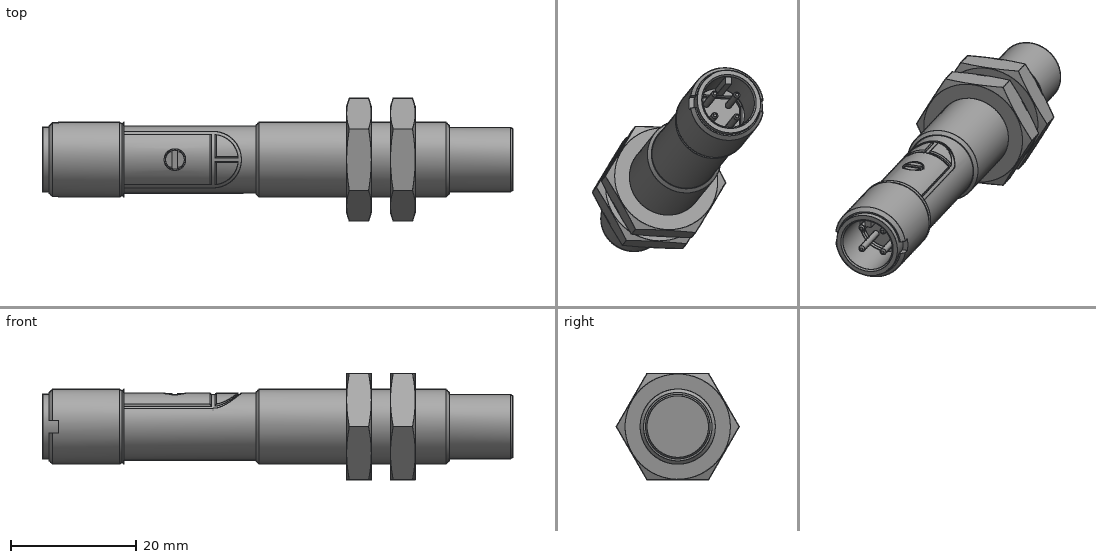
import cadquery as cq
import math

LENGTH = 75.0
BODY_DIAMETER = 12.0
BODY_RADIUS = BODY_DIAMETER / 2
OVERRUN = 1.0

TIP_RADIUS = 10.35 / 2
TIP_LENGTH = 1.0
SLEEVE_CHAMFER_START_RADIUS = 5.4
SLEEVE_CHAMFER_END = 1.6
SLEEVE_END = 12.95
SLEEVE_GROOVE_WIDTH = 0.7
SLEEVE_GROOVE_RUNOUT = 0.25
SLEEVE_GROOVE_DEPTH = 0.3
KEYWAY_WIDTH = 2.0
KEYWAY_END = 2.55

WINDOW_SECTION_RADIUS = 10.74 / 2
THREAD_START = 34.0
THREAD_END = 64.85
THREAD_ROOT_RADIUS = 10.92 / 2
THREAD_CHAMFER = BODY_RADIUS - THREAD_ROOT_RADIUS
NOSE_RADIUS = 10.3 / 2
NOSE_CHAMFER_LENGTH = 0.4
NOSE_CHAMFER_DEPTH = 0.25

SOCKET_RADIUS = 8.4 / 2
SOCKET_DEPTH = 8.0
SOCKET_CHAMFER = 0.25
RECESS_RADIUS = 3.9
RECESS_WIDTH = 7.2
RECESS_TOP = 2.85
RECESS_DEPTH = 1.0
RECESS_CHAMFER = 0.25
KEY_WIDTH = 1.0
KEY_BOTTOM = 3.0
KEY_START = 0.5
PIN_DIAMETER = 1.0
PIN_SPACING = 3.6
PIN_TIP = 2.2
PIN_CHAMFER = 0.25

GROOVE_FLOOR_RADIUS = 10.3 / 2
OUTLINE_HALF_WIDTH = 4.5
OUTLINE_GROOVE_WIDTH = 0.5
OUTLINE_END = 31.7
OUTLINE_ARC_X = OUTLINE_END - OUTLINE_HALF_WIDTH
T_WALL_SPREAD = 0.2
CROSS_GROOVE_X = 27.2
CROSS_GROOVE_FLOOR_WIDTH = 0.6
LONG_GROOVE_FLOOR_WIDTH = 0.6

SCREW_X = 21.1
SCREW_HOLE_DIAMETER = 3.44
SCREW_HOLE_FLOOR = 4.7
SCREW_HEAD_DIAMETER = 3.0
SCREW_HEAD_TOP = 5.25
SCREW_SLOT_WIDTH = 0.9
SCREW_SLOT_DEPTH = 0.3

NUT_WIDTH_ACROSS_FLATS = 17.0
NUT_THICKNESS = 4.0
NUT_STARTS = (48.45, 55.45)
NUT_CHAMFER_CIRCLE_RADIUS = 8.4
NUT_CHAMFER_ANGLE = 18.0


def box(x_start, x_end, y_width, z_bottom, z_top):
    """Box that is centred on Y = 0."""
    size_x = x_end - x_start
    size_z = z_top - z_bottom
    return (
        cq.Workplane("XY")
        .box(size_x, y_width, size_z, centered=(False, True, False))
        .translate((x_start, 0, z_bottom))
    )


def cylinder(x_start, x_end, radius):
    """Cylinder on the sensor axis."""
    return cq.Workplane("YZ", origin=(x_start, 0, 0)).circle(radius).extrude(x_end - x_start)


def revolve(profile):
    """Turn a profile of (X, radius) points about the sensor axis."""
    return cq.Workplane("XY").polyline(profile).close().revolve(360, (0, 0, 0), (1, 0, 0))


def turned_body():
    groove_start = SLEEVE_END - SLEEVE_GROOVE_WIDTH
    groove_bottom = SLEEVE_END - SLEEVE_GROOVE_RUNOUT
    return revolve([
        (0, 0),
        (0, TIP_RADIUS),
        (TIP_LENGTH, TIP_RADIUS),
        (TIP_LENGTH, SLEEVE_CHAMFER_START_RADIUS),
        (SLEEVE_CHAMFER_END, BODY_RADIUS),
        (groove_start, BODY_RADIUS),
        (groove_bottom, BODY_RADIUS - SLEEVE_GROOVE_DEPTH),
        (SLEEVE_END, BODY_RADIUS),
        (SLEEVE_END, WINDOW_SECTION_RADIUS),
        (THREAD_START, WINDOW_SECTION_RADIUS),
        (THREAD_START, THREAD_ROOT_RADIUS),
        (THREAD_START + THREAD_CHAMFER, BODY_RADIUS),
        (THREAD_END - THREAD_CHAMFER, BODY_RADIUS),
        (THREAD_END, THREAD_ROOT_RADIUS),
        (THREAD_END, NOSE_RADIUS),
        (LENGTH - NOSE_CHAMFER_LENGTH, NOSE_RADIUS),
        (LENGTH, NOSE_RADIUS - NOSE_CHAMFER_DEPTH),
        (LENGTH, 0),
    ])


def keyways():
    """Two opposite notches in the sleeve edge, with floors flush with the tip."""
    bar_width = 2 * (BODY_RADIUS + OVERRUN)
    bar = box(TIP_LENGTH, KEYWAY_END, bar_width, -KEYWAY_WIDTH / 2, KEYWAY_WIDTH / 2)
    return bar.cut(cylinder(TIP_LENGTH, KEYWAY_END, TIP_RADIUS))


def socket():
    """Chamfered round socket with a flatted recess in its floor."""
    bore = revolve([
        (0, 0),
        (0, SOCKET_RADIUS + SOCKET_CHAMFER),
        (SOCKET_CHAMFER, SOCKET_RADIUS),
        (SOCKET_DEPTH, SOCKET_RADIUS),
        (SOCKET_DEPTH, 0),
    ])
    recess_end = SOCKET_DEPTH + RECESS_DEPTH
    recess = cylinder(SOCKET_DEPTH, recess_end, RECESS_RADIUS)
    flats = box(SOCKET_DEPTH, recess_end, RECESS_WIDTH, -BODY_RADIUS, RECESS_TOP)
    return bore.union(recess.intersect(flats))


def socket_key():
    key = box(KEY_START, SOCKET_DEPTH, KEY_WIDTH, KEY_BOTTOM, BODY_RADIUS)
    return key.intersect(cylinder(0, SOCKET_DEPTH, TIP_RADIUS))


def contact_pins():
    pin_end = SOCKET_DEPTH + RECESS_DEPTH + OVERRUN
    return (
        cq.Workplane("YZ", origin=(PIN_TIP, 0, 0))
        .rarray(PIN_SPACING, PIN_SPACING, 2, 2)
        .circle(PIN_DIAMETER / 2)
        .extrude(pin_end - PIN_TIP)
        .faces("<X")
        .chamfer(PIN_CHAMFER)
    )


def round_ended_block(half_width):
    """Block from the sleeve to a half-round end, reaching from the axis to above the surface."""
    return (
        cq.Workplane("XY")
        .moveTo(SLEEVE_END, -half_width)
        .lineTo(OUTLINE_ARC_X, -half_width)
        .threePointArc((OUTLINE_ARC_X + half_width, 0), (OUTLINE_ARC_X, half_width))
        .lineTo(SLEEVE_END, half_width)
        .close()
        .extrude(BODY_RADIUS)
    )


def t_groove_section(floor_width):
    """Flared groove section as (offset from the groove centre, radius) points."""
    floor_half = floor_width / 2
    top_half = floor_half + T_WALL_SPREAD
    return [
        (-floor_half, 0),
        (-floor_half, GROOVE_FLOOR_RADIUS),
        (-top_half, WINDOW_SECTION_RADIUS),
        (-top_half, BODY_RADIUS),
        (top_half, BODY_RADIUS),
        (top_half, WINDOW_SECTION_RADIUS),
        (floor_half, GROOVE_FLOOR_RADIUS),
        (floor_half, 0),
    ]


def cross_groove():
    """Bar of the T, running round the sensor axis."""
    section = t_groove_section(CROSS_GROOVE_FLOOR_WIDTH)
    return revolve([(CROSS_GROOVE_X + offset, radius) for offset, radius in section])


def long_groove():
    """Stem of the T, running along X from the bar to the round end."""
    section = t_groove_section(LONG_GROOVE_FLOOR_WIDTH)
    return (
        cq.Workplane("YZ", origin=(CROSS_GROOVE_X, 0, 0))
        .polyline(section)
        .close()
        .extrude(OUTLINE_END - CROSS_GROOVE_X)
    )


def window_grooves():
    """Outline groove and T groove, all with one cylindrical floor."""
    inner_half_width = OUTLINE_HALF_WIDTH - OUTLINE_GROOVE_WIDTH
    cover = round_ended_block(inner_half_width)
    outline = round_ended_block(OUTLINE_HALF_WIDTH).cut(cover)
    tee = cross_groove().union(long_groove()).intersect(cover)
    return outline.union(tee).cut(cylinder(SLEEVE_END, THREAD_START, GROOVE_FLOOR_RADIUS))


def screw_hole():
    """Round hole around a slotted screw head that stays joined to the body at the hole floor."""
    hole = (
        cq.Workplane("XY", origin=(SCREW_X, 0, SCREW_HOLE_FLOOR))
        .circle(SCREW_HOLE_DIAMETER / 2)
        .extrude(BODY_RADIUS - SCREW_HOLE_FLOOR)
    )
    head = (
        cq.Workplane("XY", origin=(SCREW_X, 0, SCREW_HOLE_FLOOR))
        .circle(SCREW_HEAD_DIAMETER / 2)
        .extrude(SCREW_HEAD_TOP - SCREW_HOLE_FLOOR)
    )
    slot = box(
        SCREW_X - SCREW_SLOT_WIDTH / 2,
        SCREW_X + SCREW_SLOT_WIDTH / 2,
        SCREW_HEAD_DIAMETER,
        SCREW_HEAD_TOP - SCREW_SLOT_DEPTH,
        SCREW_HEAD_TOP,
    )
    return hole.cut(head.cut(slot))


def chamfer_recess_mouth(body):
    reach = RECESS_CHAMFER / 2
    mouth = cq.selectors.BoxSelector(
        (SOCKET_DEPTH - reach, -SOCKET_RADIUS, -SOCKET_RADIUS + reach),
        (SOCKET_DEPTH + reach, SOCKET_RADIUS, SOCKET_RADIUS - reach),
        boundingbox=True,
    )
    return body.edges(mouth).chamfer(RECESS_CHAMFER)


def make_sensor():
    sensor = turned_body().cut(keyways()).cut(socket())
    sensor = chamfer_recess_mouth(sensor)
    sensor = sensor.union(socket_key()).union(contact_pins())
    return sensor.cut(window_grooves()).cut(screw_hole())


def make_nut(x_start):
    """Hexagon nut with flats facing up and down and both faces chamfered."""
    corner_radius = NUT_WIDTH_ACROSS_FLATS / math.sqrt(3)
    hexagon = (
        cq.Workplane("YZ", origin=(x_start, 0, 0))
        .polygon(6, 2 * corner_radius)
        .extrude(NUT_THICKNESS)
    )
    outer_radius = corner_radius + OVERRUN
    drop = (outer_radius - NUT_CHAMFER_CIRCLE_RADIUS) * math.tan(math.radians(NUT_CHAMFER_ANGLE))
    x_end = x_start + NUT_THICKNESS
    envelope = revolve([
        (x_start, 0),
        (x_start, NUT_CHAMFER_CIRCLE_RADIUS),
        (x_start + drop, outer_radius),
        (x_end - drop, outer_radius),
        (x_end, NUT_CHAMFER_CIRCLE_RADIUS),
        (x_end, 0),
    ])
    return hexagon.intersect(envelope).cut(cylinder(x_start, x_end, BODY_RADIUS))


sensor = make_sensor()
nuts = [make_nut(x_start) for x_start in NUT_STARTS]

result = cq.Compound.makeCompound([sensor.val(), *[nut.val() for nut in nuts]])